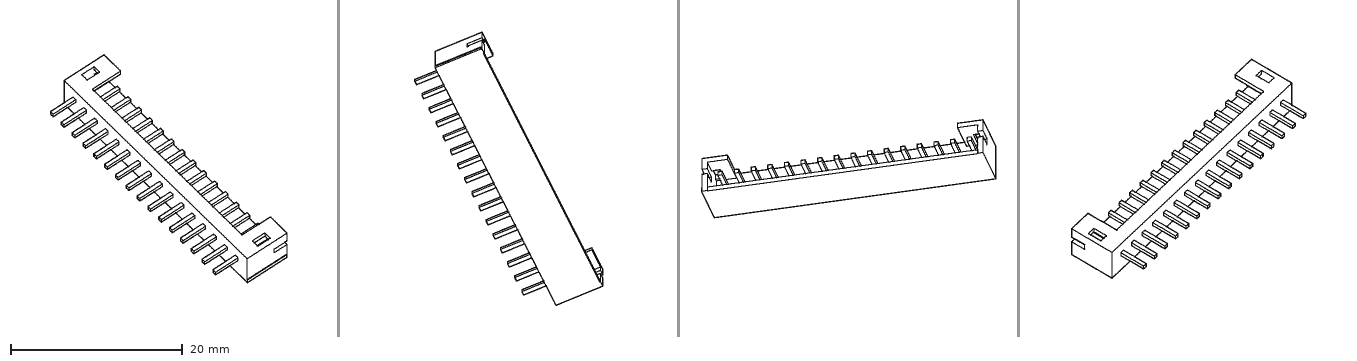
import cadquery as cq

overall_length = 33.9
plate_overhang = 0.07
body_length = overall_length - plate_overhang
body_depth = 6.0
body_height = 4.5

base_thickness = 1.75
end_wall = 0.65
top_wall = 0.6
floor_wall = 0.55
floor_setback = 0.1

lip_length = 3.1

slot_depth = 1.93
left_slot_height = 0.78
right_slot_height = 0.68
slot_top = body_height - 1.5

window_length = 1.02
window_depth = 1.85
window_start_y = 2.15

pin_count = 16
pin_pitch = 2.0
pin_size = 0.5
pin_tail = 3.4
pin_contact_end = 5.02


def block(x_start, x_end, y_start, y_end, z_start, z_end):
    """Axis-aligned box given by its limits."""
    size = (x_end - x_start, y_end - y_start, z_end - z_start)
    return cq.Workplane("XY").box(*size, centered=False).translate((x_start, y_start, z_start))


def make_housing():
    housing = block(0, body_length, 0, body_depth, 0, body_height)
    cavity = block(
        end_wall, body_length - end_wall,
        base_thickness, body_depth,
        floor_wall, body_height - top_wall,
    )
    top_opening = block(
        lip_length, body_length - lip_length,
        base_thickness, body_depth,
        floor_wall, body_height,
    )
    floor_relief = block(
        end_wall, body_length - end_wall,
        body_depth - floor_setback, body_depth,
        0, floor_wall,
    )
    return housing.cut(cavity).cut(top_opening).cut(floor_relief)


def make_end_slot(x_start, slot_height):
    return block(
        x_start, x_start + end_wall,
        body_depth - slot_depth, body_depth,
        slot_top - slot_height, slot_top,
    )


def make_lip_window(x_start):
    return block(
        x_start, x_start + window_length,
        window_start_y, window_start_y + window_depth,
        body_height - top_wall, body_height,
    )


def make_floor_overhang():
    """Thin edge of the floor plate standing proud of the +X end."""
    return block(
        body_length, overall_length,
        0, body_depth - floor_setback,
        0, floor_wall,
    )


def make_pin(x_center):
    return block(
        x_center - pin_size / 2, x_center + pin_size / 2,
        -pin_tail, pin_contact_end,
        slot_top - pin_size, slot_top,
    )


result = make_housing().union(make_floor_overhang())
result = result.cut(make_end_slot(0, left_slot_height))
result = result.cut(make_end_slot(body_length - end_wall, right_slot_height))
for window_x in (end_wall, body_length - end_wall - window_length):
    result = result.cut(make_lip_window(window_x))

first_pin_x = (body_length - (pin_count - 1) * pin_pitch) / 2
for index in range(pin_count):
    result = result.union(make_pin(first_pin_x + index * pin_pitch))